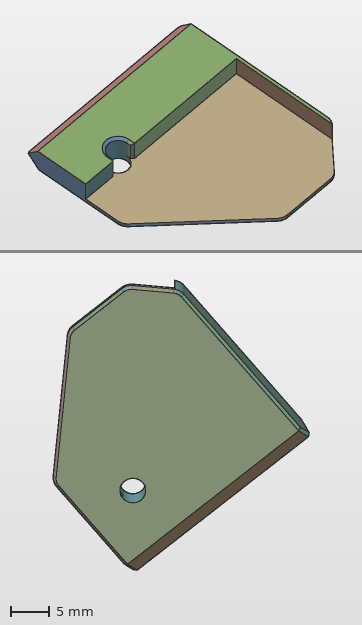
import cadquery as cq

length = 32.0
width = 30.0
height = 4.0

front_cut = 15.0
back_cut = 5.0
corner_radius = height / 2

point_height = height / 2
bevel = height / 10
bevel_angle = 45

step_x = 10.5
floor_z = 1.0
back_wall = 0.5

hole_x = 9.47
hole_y = 7.5
hole_diameter = 3.4
hole_radius = hole_diameter / 2
mouth_radius = hole_radius + bevel


def make_plate():
    """Plate with two cut-off right corners, a pointed left edge and a bevelled underside."""
    plate = (
        cq.Workplane("XY")
        .polyline([
            (0, 0),
            (length - front_cut, 0),
            (length, front_cut),
            (length, width - back_cut),
            (length - back_cut, width),
            (0, width),
        ])
        .close()
        .extrude(height)
    )
    plate = plate.edges("|Z and (not <X)").fillet(corner_radius)

    side_profile = (
        cq.Workplane("XZ")
        .polyline([
            (0, point_height),
            (point_height, 0),
            (length, 0),
            (length, height),
            (height - point_height, height),
        ])
        .close()
        .extrude(-width)
    )
    plate = plate.intersect(side_profile)

    underside = plate.faces("<Z").edges("not <X")
    slope = plate.faces(cq.selectors.DirectionMinMaxSelector(cq.Vector(1, 0, 1), False))
    slope_ends = slope.edges("not |Y")
    return underside.add(slope_ends).chamfer(bevel)


def make_recess():
    """Pocket open to the front and right, leaving the left block and a thin back wall."""
    return cq.Workplane("XY").box(
        length - step_x, width - back_wall, height - floor_z, centered=False
    ).translate((step_x, 0, floor_z))


def make_hole():
    """Through hole that opens through the step, with bevelled top and mouth edges."""
    hole = cq.Workplane("XY").center(hole_x, hole_y).circle(hole_radius).extrude(height)

    countersink = (
        cq.Workplane("XY", origin=(hole_x, hole_y, height))
        .circle(mouth_radius)
        .extrude(-bevel, taper=bevel_angle)
    )

    opening = (
        cq.Workplane("XY", origin=(0, hole_y, floor_z))
        .polyline([
            (hole_x, -hole_radius),
            (step_x - bevel, -hole_radius),
            (step_x, -mouth_radius),
            (step_x, mouth_radius),
            (step_x - bevel, hole_radius),
            (hole_x, hole_radius),
        ])
        .close()
        .extrude(height - floor_z)
    )

    top_bevel = (
        cq.Workplane("YZ", origin=(hole_x, hole_y, 0))
        .polyline([
            (-hole_radius, height - bevel),
            (hole_radius, height - bevel),
            (mouth_radius, height),
            (-mouth_radius, height),
        ])
        .close()
        .extrude(step_x - hole_x)
    )
    return hole.union(countersink).union(opening).union(top_bevel)


result = make_plate().cut(make_recess()).cut(make_hole())